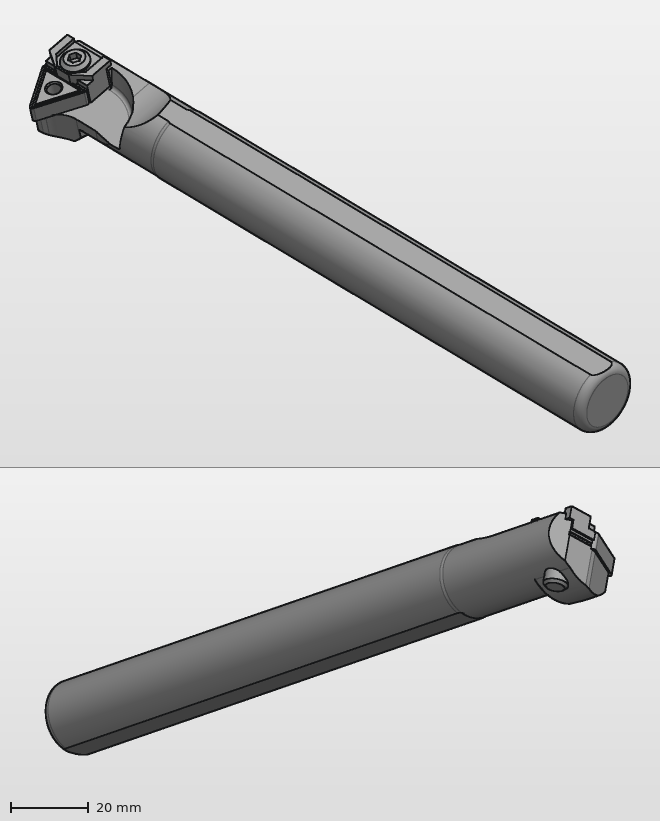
import cadquery as cq
import math

tilt = 12.0
flank_angle = math.radians(30)
head_plane = cq.Plane(
    origin=(0, 0, 0),
    xDir=(1, 0, 0),
    normal=(0, -math.sin(math.radians(tilt)), math.cos(math.radians(tilt))),
)
cos_tilt = math.cos(math.radians(tilt))
sin_tilt = math.sin(math.radians(tilt))
highest = cq.selectors.DirectionMinMaxSelector(head_plane.zDir, True)
lowest = cq.selectors.DirectionMinMaxSelector(head_plane.zDir, False)
across_seat = cq.selectors.ParallelDirSelector(head_plane.zDir)
beyond = 60.0
front_clearance = 1.0

total_length = 200.0
shank_radius = 10.0
shank_flat = 9.25
shank_start = 45.0
rear_fillet = 2.4
neck_radius = 9.85
neck_taper = 1.0

overall_reach = 16.0
inscribed_radius = 4.7625
nose_radius = 0.8
insert_thickness = 4.76
insert_hole_radius = 1.9
insert_hole_chamfer = 0.4
breaker_rim = 0.6
breaker_width = 0.6
breaker_depth = 0.25
insert_top = 3.6
seat = insert_top - insert_thickness
corner_reach = 2 * (inscribed_radius - nose_radius)
insert_x = corner_reach * math.cos(flank_angle) + nose_radius
nose_center_y = (insert_top * sin_tilt - overall_reach) / cos_tilt + nose_radius
insert_y = nose_center_y + corner_reach
insert_back = insert_y + inscribed_radius

head_front = 0.6
flank_inset = 0.5
head_nose_radius = 1.0
head_corner_run = 3.9
head_corner_y = 5.6
head_corner_end_y = 10.5
bulge_radius = 12.53
bulge_offset = 4.0
bulge_end = 16.8
bulge_chamfer = 2.6
relief_y = -8.6
relief_start = 16.3
relief_level_end = 23.4
relief_end = 34.0
relief_end_y = -10.6
head_edge_chamfer = 0.8
clamp_face = 15.5

top_land = 5.3
ramp_start = 28.0
ramp_radius = 22.0
pocket_x = 16.3
pocket_y = -12.2
pocket_floor_radius = 17.3
pocket_top_radius = 18.5
pocket_fillet = 1.2

clamp_top = 7.0
clamp_back = 7.0
clamp_side_y = 0.2
clamp_nose_y = -3.2
clamp_nose_start = 5.4
clamp_nose_end = 10.2
clamp_rim = 2.4
recess_depth = 1.2
recess_nose_inset = 0.6
skirt_bottom = 1.2
groove_bottom = -0.4
groove_top = 0.4
groove_depth = 0.3

screw_x = 7.5
screw_y = 1.9
screw_head_radius = 4.0
screw_head_chamfer = 1.1
screw_top = 7.4
screw_socket = 3.6
screw_socket_depth = 2.0
screw_end_radius = 3.3
screw_end = -12.3
screw_end_chamfer = 0.8


def local(height=0.0):
    """Workplane parallel to the insert seat, at a height along its normal."""
    return cq.Workplane(head_plane).workplane(offset=height)


def triangle(height, radius):
    """Sharp triangle around the insert center with its nose toward -y."""
    corners = []
    for angle in (-90, 30, 150):
        turn = math.radians(angle)
        corners.append((insert_x + 2 * radius * math.cos(turn), insert_y + 2 * radius * math.sin(turn)))
    return local(height).polyline(corners).close()


def make_insert():
    body = triangle(seat, inscribed_radius).extrude(insert_thickness)
    body = body.edges(across_seat).fillet(nose_radius)
    groove = triangle(insert_top - breaker_depth, inscribed_radius - breaker_rim).extrude(breaker_depth)
    island = triangle(insert_top - breaker_depth, inscribed_radius - breaker_rim - breaker_width)
    groove = groove.cut(island.extrude(breaker_depth))
    hole = local(seat).center(insert_x, insert_y).circle(insert_hole_radius).extrude(insert_thickness)
    countersink = (
        local(insert_top)
        .center(insert_x, insert_y)
        .circle(insert_hole_radius + insert_hole_chamfer)
        .extrude(-insert_hole_chamfer, taper=45)
    )
    return body.cut(groove).cut(hole).cut(countersink)


def make_shank():
    length = total_length - shank_start
    body = cq.Workplane("YZ").workplane(offset=shank_start).circle(shank_radius).extrude(length)
    body = body.faces(">X").edges().fillet(rear_fillet)
    return body.faces("<X").chamfer(neck_taper, shank_radius - neck_radius)


def flats():
    """Slab that leaves the top flat everywhere and the bottom flat on the shank only."""
    block = cq.Workplane("XY").box(total_length, beyond, beyond, centered=(False, True, False))
    below_top_flat = block.translate((0, 0, shank_flat - beyond))
    below_bottom_flat = block.translate((shank_start, 0, -shank_flat - beyond))
    return below_top_flat.cut(below_bottom_flat)


def head_outline():
    """Tilted prism that trims the head front, its flanks and the relief beside it."""
    cos_flank = math.cos(flank_angle)
    sin_flank = math.sin(flank_angle)
    flank_slope = cos_flank / sin_flank
    flank_distance = inscribed_radius - flank_inset
    apex_y = insert_y - flank_distance / sin_flank
    front_edge_y = apex_y + (insert_x - head_front) * flank_slope
    head_nose_y = apex_y + head_nose_radius / sin_flank
    touch_x = head_nose_radius * cos_flank
    touch_y = head_nose_y - head_nose_radius * sin_flank
    flank_end_x = insert_x + (relief_y - apex_y) / flank_slope
    blend_length = relief_start - flank_end_x
    blend_x = flank_end_x - blend_length * sin_flank
    blend_y = relief_y - blend_length * cos_flank
    return (
        local(-beyond)
        .moveTo(head_front, head_corner_y)
        .lineTo(head_front, front_edge_y + head_edge_chamfer)
        .lineTo(head_front + head_edge_chamfer / flank_slope, front_edge_y - head_edge_chamfer)
        .lineTo(insert_x - touch_x, touch_y)
        .threePointArc((insert_x, head_nose_y - head_nose_radius), (insert_x + touch_x, touch_y))
        .lineTo(blend_x, blend_y)
        .tangentArcPoint((relief_start, relief_y), relative=False)
        .lineTo(relief_level_end, relief_y)
        .lineTo(relief_end, relief_end_y)
        .lineTo(relief_end, -beyond)
        .lineTo(total_length, -beyond)
        .lineTo(total_length, beyond)
        .lineTo(head_front + head_corner_run, beyond)
        .lineTo(head_front + head_corner_run, head_corner_end_y)
        .close()
        .extrude(2 * beyond)
    )


def make_head_blank():
    neck = cq.Workplane("YZ").circle(neck_radius).extrude(shank_start)
    bulge = cq.Workplane("YZ").center(-bulge_offset, 0).circle(bulge_radius).extrude(bulge_end)
    bulge = bulge.faces(">X").chamfer(bulge_chamfer)
    screw_tip = local(screw_end).center(screw_x, screw_y).circle(screw_end_radius).extrude(-screw_end)
    screw_tip = screw_tip.faces(lowest).chamfer(screw_end_chamfer)
    return neck.union(bulge).intersect(head_outline()).union(screw_tip)


def top_ramp():
    """Material above the top land, which rises to the shank flat on a concave arc."""
    side = cq.Plane(origin=head_plane.toWorldCoords((0, beyond, 0)), xDir=(1, 0, 0), normal=-head_plane.yDir)
    return (
        cq.Workplane(side)
        .moveTo(-front_clearance, top_land)
        .lineTo(ramp_start, top_land)
        .radiusArc((ramp_start + ramp_radius, top_land + ramp_radius), -ramp_radius)
        .lineTo(-front_clearance, top_land + ramp_radius)
        .close()
        .extrude(2 * beyond)
    )


def seat_space():
    """Open space around the insert, in front of the clamp block."""
    width = clamp_face + front_clearance
    return (
        local(seat)
        .moveTo(-front_clearance, insert_back)
        .rect(width, -beyond, centered=False)
        .extrude(beyond)
    )


def chip_pocket():
    """Round pocket with a sloping wall beside the clamp block."""
    height = top_land - seat
    draft = math.degrees(math.atan((pocket_top_radius - pocket_floor_radius) / height))
    scoop = local(seat).center(pocket_x, pocket_y).circle(pocket_floor_radius).extrude(2 * height, taper=-draft)
    scoop = scoop.faces(lowest).edges().fillet(pocket_fillet)
    reach = local(seat).moveTo(pocket_x, -beyond).rect(beyond, 2 * beyond, centered=False).extrude(beyond)
    wall_y = pocket_y + pocket_floor_radius
    entry = local(seat).moveTo(clamp_face, wall_y).rect(pocket_x - clamp_face, -beyond, centered=False)
    return scoop.intersect(reach).union(entry.extrude(beyond))


def make_clamp():
    nose_side = clamp_face - clamp_rim
    body = (
        local(insert_top)
        .polyline([
            (0, clamp_back),
            (0, clamp_side_y),
            (clamp_nose_start, clamp_nose_y),
            (clamp_nose_end, clamp_nose_y),
            (clamp_face, clamp_side_y),
            (clamp_face, clamp_back),
        ])
        .close()
        .extrude(clamp_top - insert_top)
    )
    recess = (
        local(clamp_top - recess_depth)
        .polyline([
            (clamp_rim, clamp_back),
            (clamp_rim, clamp_side_y),
            (clamp_nose_start, clamp_nose_y + recess_nose_inset),
            (clamp_nose_end, clamp_nose_y + recess_nose_inset),
            (nose_side, clamp_side_y),
            (nose_side, clamp_back),
        ])
        .close()
        .extrude(recess_depth)
    )
    skirt = local(skirt_bottom).moveTo(0, insert_back)
    skirt = skirt.rect(clamp_face / 2, head_corner_y - insert_back, centered=False)
    return body.cut(recess).union(skirt.extrude(insert_top - skirt_bottom))


def front_groove():
    groove = local(groove_bottom).moveTo(0, insert_back)
    groove = groove.rect(head_front + groove_depth, head_corner_y - insert_back, centered=False)
    return groove.extrude(groove_top - groove_bottom)


def make_screw_head():
    bottom = clamp_top - recess_depth
    head = local(bottom).center(screw_x, screw_y).circle(screw_head_radius).extrude(screw_top - bottom)
    return head.faces(highest).chamfer(screw_head_chamfer)


def screw_drive():
    return local(screw_top).center(screw_x, screw_y).polygon(6, screw_socket).extrude(-screw_socket_depth)


holder = make_head_blank()
holder = holder.cut(top_ramp()).cut(seat_space()).cut(chip_pocket()).cut(front_groove())
holder = holder.union(make_shank()).intersect(flats())
holder = holder.union(make_clamp()).union(make_screw_head()).cut(screw_drive())

insert = make_insert()

result = cq.Compound.makeCompound([holder.val(), insert.val()])